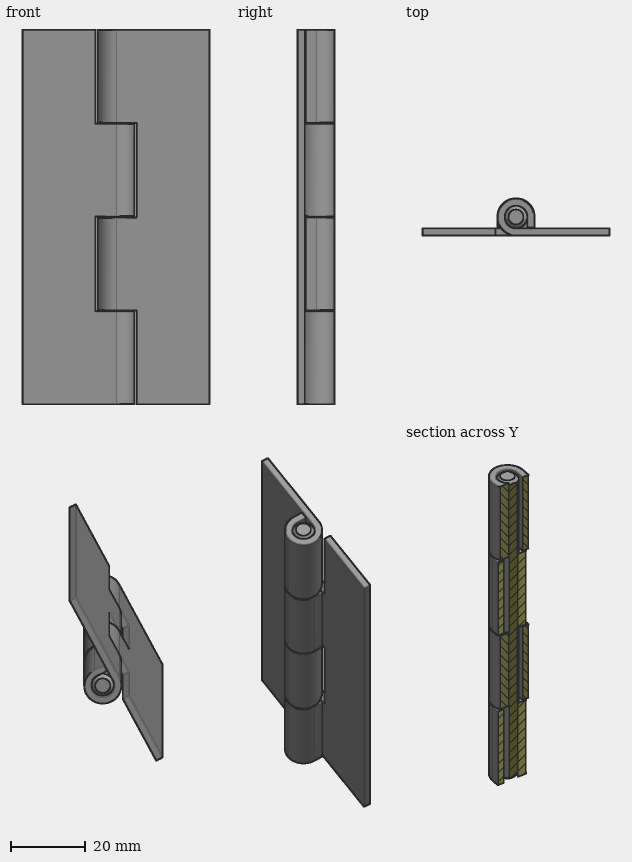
import cadquery as cq

height = 100.0
leaf_width = 25.0
sheet = 2.0
knuckle_radius = 5.0
knuckle_count = 4
knuckle_gap = 0.2
side_gap = 0.5
tip_gap = 0.2
edge_radius = 0.2
pin_chamfer = 1.0

bore_radius = knuckle_radius - sheet
pitch = height / knuckle_count
notch_edge = knuckle_radius + side_gap
leaf_back = -bore_radius
tip_end = leaf_back + tip_gap


def knuckle_span(index):
    """Bottom and top Z of a knuckle; the gap is shared evenly at each joint."""
    bottom = index * pitch
    top = bottom + pitch
    if index > 0:
        bottom += knuckle_gap / 2
    if index < knuckle_count - 1:
        top -= knuckle_gap / 2
    return bottom, top


def leaf_plate():
    """Flat part of the right-hand leaf, as far in as the notches."""
    return cq.Workplane("XY").box(
        leaf_width - notch_edge, sheet, height, centered=False
    ).translate((notch_edge, -knuckle_radius, 0))


def rolled_knuckle(bottom, top):
    """Sheet rolled three quarters round the pin, ending in a straight tip."""
    return (
        cq.Workplane("XY", origin=(0, 0, bottom))
        .moveTo(notch_edge, -knuckle_radius)
        .lineTo(0, -knuckle_radius)
        .threePointArc((-knuckle_radius, 0), (0, knuckle_radius))
        .radiusArc((knuckle_radius, 0), knuckle_radius)
        .lineTo(knuckle_radius, tip_end)
        .lineTo(bore_radius, tip_end)
        .lineTo(bore_radius, 0)
        .radiusArc((0, bore_radius), -bore_radius)
        .threePointArc((-bore_radius, 0), (0, -bore_radius))
        .lineTo(notch_edge, leaf_back)
        .close()
        .extrude(top - bottom)
    )


def right_hand_leaf(knuckle_indices):
    """Edge-rounded leaf on the +X side, carrying the knuckles with the given indices."""
    leaf = leaf_plate()
    for index in knuckle_indices:
        leaf = leaf.union(rolled_knuckle(*knuckle_span(index)))
    return leaf.edges().fillet(edge_radius)


def hinge_pin():
    """Full-length pin filling the bore, chamfered at both ends."""
    return cq.Workplane("XY").circle(bore_radius).extrude(height).edges("%CIRCLE").chamfer(pin_chamfer)


right_leaf = right_hand_leaf(range(1, knuckle_count, 2))
left_leaf = right_hand_leaf(range(0, knuckle_count, 2)).mirror("YZ")
pin = hinge_pin()

bodies = [left_leaf, right_leaf, pin]
result = cq.Compound.makeCompound([body.solids().val() for body in bodies])